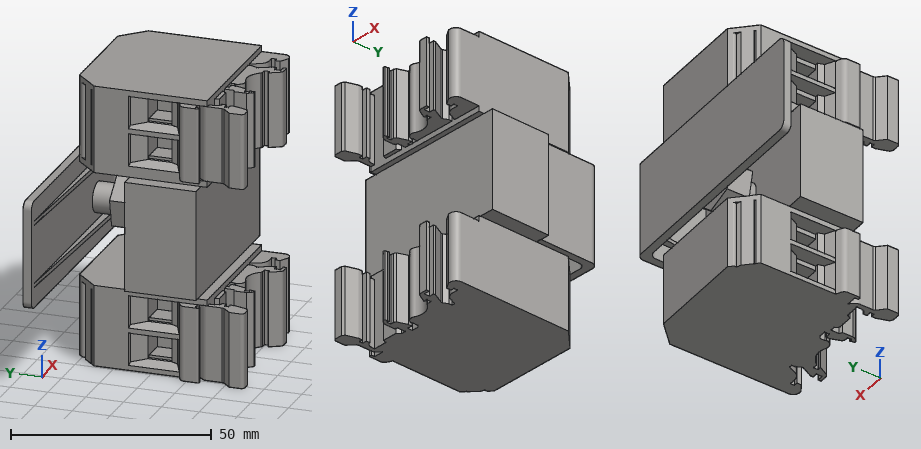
import cadquery as cq
import math


UNIT_HEIGHT = 20.0
SLICES_PER_UNIT = 2
SLICE_HEIGHT = UNIT_HEIGHT / SLICES_PER_UNIT
UNIT_WIDTH = 40.15
UNIT_DEPTH = 35.9
UNIT_CHAMFER = 6.0
PLATE_THICKNESS = 1.6
FOOT_ROOT = 0.75
CUT_MARGIN = 0.4

LEFT_OVERHANG_X = -2.3
NOSE_SLOT_Y = 2.55
NOTCH_DEPTH = 1.5

HOOK_RIGHT = 14.35
HEEL_LEFT = 17.1

POCKET_FLOOR_WALL = 1.35
POCKET_FLOOR_RISE = 1.1
POCKET_MOUTH_Y = (7.4, 20.8)
POCKET_INNER_Y = (10.55, 16.8)
POCKET_DEPTH = 3.3
RECESS_DEPTH = 0.8
CLAMP_HOLE_DEPTH = 6.0
CLAMP_HOLE_HEIGHT = 5.4
CLAMP_HOLE_TOP_WALL = 1.4

BLOCK_X = (-3.75, 43.3)
BLOCK_Y = (1.65, 20.5)
BLOCK_HEIGHT = 29.1
OVERALL_HEIGHT = 74.8

BRACKET_LEFT = -24.7
BRACKET_REAR = 39.9
BRACKET_HEIGHT = 28.6
BRACKET_THICKNESS = 2.25
BRACKET_BEND_RADIUS = 2.0
BRACKET_CORNER_RADIUS = 2.0
GUSSET_SPACING = 16.6
GUSSET_THICKNESS = 1.1
GUSSET_DEPTH = 2.25
GUSSET_END_MARGIN = 2.1

STUD_DIAMETER = 8.0
STUD_REAR = 36.05
NUT_ACROSS_FLATS = 13.0
NUT_THICKNESS = 6.65
NUT_FRONT = 23.7
NUT_TURN = 12.0

LOWER_UNIT_Z = 0.0
UPPER_UNIT_Z = OVERALL_HEIGHT - PLATE_THICKNESS - UNIT_HEIGHT
BLOCK_TOP = UPPER_UNIT_Z - PLATE_THICKNESS
BLOCK_Z = BLOCK_TOP - BLOCK_HEIGHT
BLOCK_MID_Z = BLOCK_Z + BLOCK_HEIGHT / 2
STUD_X = (BLOCK_X[0] + BLOCK_X[1]) / 2


def box(x_range, y_range, z_range):
    """Axis-aligned box between the given limits."""
    size = [high - low for low, high in (x_range, y_range, z_range)]
    corner = (x_range[0], y_range[0], z_range[0])
    return cq.Workplane("XY").box(*size, centered=False).translate(corner)


def chamfered_outline(height):
    """Slab with the terminal outline: a rectangle with its two rear corners cut off."""
    return (
        cq.Workplane("XY")
        .rect(UNIT_WIDTH, UNIT_DEPTH, centered=False)
        .extrude(height)
        .edges("|Z and >Y")
        .chamfer(UNIT_CHAMFER)
    )


def end_plate(z):
    return chamfered_outline(PLATE_THICKNESS).translate((0, 0, z))


def nose():
    """Hooked rail along the left face, in front of the wire entries."""
    return (
        cq.Workplane("XY")
        .moveTo(FOOT_ROOT, 7.8)
        .lineTo(-1.4, 6.65)
        .threePointArc((-2.1, 6.05), (LEFT_OVERHANG_X, 4.9))
        .lineTo(LEFT_OVERHANG_X, 1.95)
        .lineTo(-2.2, 1.4)
        .lineTo(-1.4, 1.4)
        .lineTo(-1.4, NOSE_SLOT_Y)
        .lineTo(NOTCH_DEPTH, NOSE_SLOT_Y)
        .close()
        .extrude(UNIT_HEIGHT)
    )


def nose_notch():
    """Notch in the left face behind the nose, running out in a rounded lip at the front."""
    return (
        cq.Workplane("XY")
        .moveTo(-CUT_MARGIN, NOSE_SLOT_Y)
        .lineTo(NOTCH_DEPTH, NOSE_SLOT_Y)
        .lineTo(0.45, 1.3)
        .threePointArc((0.15, 0.8), (0, 0.3))
        .lineTo(-CUT_MARGIN, 0.3)
        .close()
        .extrude(UNIT_HEIGHT)
    )


def release_foot():
    """Left foot with a slanted outer jog and two catches on its inner side."""
    return (
        cq.Workplane("XY")
        .moveTo(0, FOOT_ROOT)
        .lineTo(0, -4.0)
        .lineTo(-0.2, -4.55)
        .lineTo(LEFT_OVERHANG_X, -6.65)
        .lineTo(LEFT_OVERHANG_X, -9.4)
        .threePointArc((-2.1, -10.2), (-1.4, -10.5))
        .lineTo(0.6, -10.5)
        .lineTo(1.4, -9.95)
        .lineTo(2.55, -6.4)
        .lineTo(2.55, -5.15)
        .lineTo(1.4, -5.15)
        .lineTo(1.4, -4.05)
        .lineTo(2.85, -4.05)
        .lineTo(2.85, -2.85)
        .lineTo(2.4, -2.85)
        .threePointArc((1.7, -2.1), (1.4, -1.1))
        .lineTo(1.4, FOOT_ROOT)
        .close()
        .extrude(UNIT_HEIGHT)
    )


def front_pad():
    """Low pad with slanted sides on the front face."""
    return (
        cq.Workplane("XY")
        .polyline([(5.5, FOOT_ROOT), (5.5, 0), (6.0, -1.1), (10.55, -1.1), (11.45, 0), (11.45, FOOT_ROOT)])
        .close()
        .extrude(UNIT_HEIGHT)
    )


def inner_hook():
    """Slim foot with a hook at its tip."""
    return (
        cq.Workplane("XY")
        .moveTo(12.8, FOOT_ROOT)
        .lineTo(12.8, -2.5)
        .lineTo(12.0, -2.85)
        .lineTo(12.0, -6.1)
        .threePointArc((12.4, -7.0), (13.1, -7.7))
        .lineTo(13.7, -7.7)
        .lineTo(13.7, -6.8)
        .lineTo(14.0, -6.5)
        .lineTo(13.7, -6.2)
        .lineTo(13.4, -6.4)
        .lineTo(13.1, -6.4)
        .lineTo(13.1, -5.15)
        .lineTo(14.1, -5.15)
        .lineTo(14.8, -4.8)
        .lineTo(15.85, -1.8)
        .lineTo(15.85, -0.6)
        .lineTo(HOOK_RIGHT, -0.6)
        .lineTo(HOOK_RIGHT, FOOT_ROOT)
        .close()
        .extrude(UNIT_HEIGHT)
    )


def arched_foot():
    """Wide foot with a rounded heel, a hollow arch and a double catch at its tip."""
    return (
        cq.Workplane("XY")
        .moveTo(HEEL_LEFT, FOOT_ROOT)
        .lineTo(HEEL_LEFT, -1.1)
        .lineTo(16.9, -1.4)
        .threePointArc((17.8, -3.1), (20.0, -3.0))
        .threePointArc((23.7, -2.9), (26.25, -4.85))
        .lineTo(26.7, -5.1)
        .lineTo(27.9, -5.1)
        .lineTo(27.9, -6.4)
        .lineTo(27.6, -6.4)
        .lineTo(27.4, -6.2)
        .lineTo(26.85, -6.5)
        .lineTo(28.35, -9.2)
        .threePointArc((28.7, -9.6), (29.3, -9.7))
        .lineTo(31.4, -9.7)
        .lineTo(31.4, -8.8)
        .lineTo(29.6, -8.8)
        .lineTo(29.6, -7.1)
        .lineTo(31.1, -7.1)
        .lineTo(31.1, -6.4)
        .lineTo(29.4, -3.0)
        .lineTo(29.4, -2.55)
        .lineTo(30.15, -1.05)
        .lineTo(30.15, FOOT_ROOT)
        .close()
        .extrude(UNIT_HEIGHT)
    )


def hook_gap():
    """Shallow groove in the front face between the slim hook and the arched foot, with one rounded corner."""
    return (
        cq.Workplane("XY")
        .moveTo(HOOK_RIGHT, -CUT_MARGIN)
        .lineTo(HOOK_RIGHT, 0.9)
        .lineTo(16.2, 0.9)
        .threePointArc((16.8, 0.6), (HEEL_LEFT, 0))
        .lineTo(HEEL_LEFT, -CUT_MARGIN)
        .close()
        .extrude(UNIT_HEIGHT)
    )


def rail_claw():
    """Right foot that hooks round the edge of a mounting rail."""
    return (
        cq.Workplane("XY")
        .moveTo(31.05, FOOT_ROOT)
        .lineTo(31.05, 0)
        .lineTo(31.9, -1.95)
        .threePointArc((33.05, -3.45), (34.8, -4.0))
        .lineTo(36.5, -4.0)
        .lineTo(36.5, -5.15)
        .lineTo(35.4, -5.15)
        .lineTo(35.4, -6.6)
        .lineTo(37.6, -7.9)
        .lineTo(38.2, -7.9)
        .threePointArc((39.6, -7.4), (UNIT_WIDTH, -6.05))
        .lineTo(UNIT_WIDTH, FOOT_ROOT)
        .close()
        .extrude(UNIT_HEIGHT)
    )


def marker_grooves():
    """Two grooves along the left rear chamfer: one with a rounded floor and a fine V."""
    rounded = (
        cq.Workplane("XY")
        .moveTo(4.85, 35.45)
        .lineTo(5.15, 35.1)
        .threePointArc((4.8, 34.55), (4.85, 33.95))
        .lineTo(3.2, 33.35)
        .close()
        .extrude(UNIT_HEIGHT)
    )
    fine = cq.Workplane("XY").polyline([(1.2, 31.1), (1.3, 30.9), (0.9, 30.8)]).close().extrude(UNIT_HEIGHT)
    return rounded.union(fine)


def wire_entry(slice_z):
    """Tapered pocket in the left face with a shallow recess and a clamp hole at its end."""
    floor = slice_z + POCKET_FLOOR_WALL
    inner_floor = floor + POCKET_FLOOR_RISE
    top = slice_z + SLICE_HEIGHT
    front, rear = POCKET_MOUTH_Y

    funnel = (
        cq.Workplane("XY")
        .workplane(offset=floor)
        .polyline(
            [
                (0, rear),
                (1.35, rear),
                (POCKET_DEPTH, POCKET_INNER_Y[1]),
                (POCKET_DEPTH, POCKET_INNER_Y[0]),
                (2.8, 8.8),
                (0, front),
            ]
        )
        .close()
        .extrude(top - floor)
    )
    ramp = (
        cq.Workplane("XZ", origin=(0, rear, 0))
        .polyline([(0, floor), (POCKET_DEPTH, inner_floor), (POCKET_DEPTH, floor)])
        .close()
        .extrude(rear - front)
    )
    recess_end = POCKET_DEPTH + RECESS_DEPTH
    recess = box((POCKET_DEPTH, recess_end), POCKET_INNER_Y, (inner_floor, top))
    hole_top = top - CLAMP_HOLE_TOP_WALL
    clamp_hole = box(
        (POCKET_DEPTH, recess_end + CLAMP_HOLE_DEPTH),
        POCKET_INNER_Y,
        (hole_top - CLAMP_HOLE_HEIGHT, hole_top),
    )
    return funnel.cut(ramp).union(recess).union(clamp_hole)


def terminal_unit(z):
    """Stack of terminal slices with its feet, pockets and upper end plate, standing at height z."""
    unit = chamfered_outline(UNIT_HEIGHT)
    for make_foot in (nose, release_foot, front_pad, inner_hook, arched_foot, rail_claw):
        unit = unit.union(make_foot())
    for make_groove in (nose_notch, hook_gap, marker_grooves):
        unit = unit.cut(make_groove())
    for index in range(SLICES_PER_UNIT):
        unit = unit.cut(wire_entry(index * SLICE_HEIGHT))
    return unit.union(end_plate(UNIT_HEIGHT)).translate((0, 0, z))


def bracket():
    """L-shaped sheet: a long arm at the rear and a leg that ends on the block, with two gussets."""
    inner_x = UNIT_WIDTH - BRACKET_THICKNESS
    inner_y = BRACKET_REAR - BRACKET_THICKNESS
    mid_x = UNIT_WIDTH - BRACKET_THICKNESS / 2
    mid_y = BRACKET_REAR - BRACKET_THICKNESS / 2
    leg_end = BLOCK_Y[1]
    bottom = BLOCK_MID_Z - BRACKET_HEIGHT / 2
    sheet = (
        cq.Workplane("XY")
        .workplane(offset=bottom)
        .polyline(
            [
                (BRACKET_LEFT, BRACKET_REAR),
                (UNIT_WIDTH, BRACKET_REAR),
                (UNIT_WIDTH, leg_end),
                (inner_x, leg_end),
                (inner_x, inner_y),
                (BRACKET_LEFT, inner_y),
            ]
        )
        .close()
        .extrude(BRACKET_HEIGHT)
    )
    bend_edges = cq.selectors.BoxSelector(
        (inner_x - CUT_MARGIN, inner_y - CUT_MARGIN, bottom),
        (UNIT_WIDTH + CUT_MARGIN, BRACKET_REAR + CUT_MARGIN, BLOCK_TOP),
    )
    sheet = sheet.edges("|Z").edges(bend_edges).fillet(BRACKET_BEND_RADIUS)
    sheet = sheet.edges("|Y and <X").fillet(BRACKET_CORNER_RADIUS)

    for side in (-1, 1):
        gusset = (
            cq.Workplane("XY")
            .workplane(offset=BLOCK_MID_Z + side * GUSSET_SPACING / 2 - GUSSET_THICKNESS / 2)
            .polyline(
                [
                    (BRACKET_LEFT + GUSSET_END_MARGIN, inner_y),
                    (inner_x - GUSSET_DEPTH, inner_y - GUSSET_DEPTH),
                    (inner_x, leg_end),
                    (mid_x, leg_end),
                    (mid_x, mid_y),
                    (inner_x, mid_y),
                    (inner_x, inner_y),
                ]
            )
            .close()
            .extrude(GUSSET_THICKNESS)
        )
        sheet = sheet.union(gusset)
    return sheet


def stud_with_nut():
    """Round stud along Y with a hexagon nut turned about it."""
    stud = (
        cq.Workplane("XZ", origin=(STUD_X, STUD_REAR, BLOCK_MID_Z))
        .circle(STUD_DIAMETER / 2)
        .extrude(STUD_REAR - BLOCK_Y[1])
    )
    corner_radius = NUT_ACROSS_FLATS / math.sqrt(3)
    nut = (
        cq.Workplane("XZ", origin=(STUD_X, NUT_FRONT + NUT_THICKNESS, BLOCK_MID_Z))
        .transformed(rotate=(0, 0, 90 + NUT_TURN))
        .polygon(6, 2 * corner_radius)
        .extrude(NUT_THICKNESS)
    )
    return stud.union(nut)


def main_unit():
    """Centre block with its bracket and stud, carrying the upper terminal unit between end plates."""
    block = box(BLOCK_X, BLOCK_Y, (BLOCK_Z, BLOCK_TOP))
    return (
        block.union(bracket())
        .union(stud_with_nut())
        .union(end_plate(BLOCK_TOP))
        .union(terminal_unit(UPPER_UNIT_Z))
    )


lower_terminal = terminal_unit(LOWER_UNIT_Z)
main_body = main_unit()

result = cq.Compound.makeCompound([main_body.val(), lower_terminal.val()])